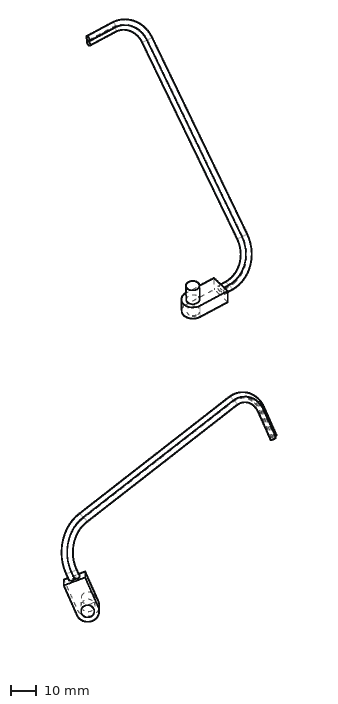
import cadquery as cq
import math

block_width = 9.0
block_back = 13.5
block_height = 6.2
pin_radius = 2.6
pin_rise = 7.5
ball_drop = 2.0

wire_diameter = 2.3
wire_spacing = 2.2
lead_length = 3.5
first_bend_radius = 15.0
first_bend_angle = 88.5
second_bend_radius = 10.0
second_bend_angle = 180 - first_bend_angle
corner_spacing = 109.5
tail_length = 12.5
climb_angle = 41.3

tilt_angle = 0.9


def make_terminal():
    nose_radius = block_width / 2
    block = (
        cq.Workplane("XY")
        .moveTo(-nose_radius, block_back)
        .lineTo(-nose_radius, 0)
        .threePointArc((0, -nose_radius), (nose_radius, 0))
        .lineTo(nose_radius, block_back)
        .close()
        .extrude(block_height)
    )
    ball_center = pin_radius - ball_drop
    pin = (
        cq.Workplane("XY", origin=(0, 0, ball_center))
        .circle(pin_radius)
        .extrude(block_height + pin_rise - ball_center)
    )
    ball = cq.Workplane("XY", origin=(0, 0, ball_center)).sphere(pin_radius)
    return block.union(pin).union(ball)


def make_cord_path():
    """Lead, bend, long run, bend and tail, all in one sloping plane."""
    climb = math.radians(climb_angle)
    lead = cq.Vector(0, 1, 0)
    across = cq.Vector(-math.cos(climb), 0, math.sin(climb))
    bend = math.radians(first_bend_angle)
    run = lead * math.cos(bend) + across * math.sin(bend)
    tail = lead * -1

    first_setback = first_bend_radius * math.tan(bend / 2)
    second_setback = second_bend_radius * math.tan(math.radians(second_bend_angle) / 2)

    lead_start = cq.Vector(0, block_back, block_height / 2)
    first_start = lead_start + lead * lead_length
    first_corner = first_start + lead * first_setback
    first_end = first_corner + run * first_setback
    second_corner = first_corner + run * corner_spacing
    second_start = second_corner - run * second_setback
    second_end = second_corner + tail * second_setback
    tail_end = second_end + tail * tail_length

    return cq.Wire.assembleEdges([
        cq.Edge.makeLine(lead_start, first_start),
        cq.Edge.makeTangentArc(first_start, lead, first_end),
        cq.Edge.makeLine(first_end, second_start),
        cq.Edge.makeTangentArc(second_start, run, second_end),
        cq.Edge.makeLine(second_end, tail_end),
    ])


def make_wire(side, path):
    section = cq.Plane(
        origin=(side * wire_spacing / 2, block_back, block_height / 2),
        xDir=(1, 0, 0),
        normal=(0, 1, 0),
    )
    return cq.Workplane(section).circle(wire_diameter / 2).sweep(path)


def make_cord():
    path = make_cord_path()
    return make_wire(-1, path).union(make_wire(1, path))


def tilt(body):
    return body.rotate((0, 0, 0), (1, 0, 0), tilt_angle)


terminal = tilt(make_terminal())
cord = tilt(make_cord())

result = cq.Compound.makeCompound([terminal.solids().val(), cord.solids().val()])